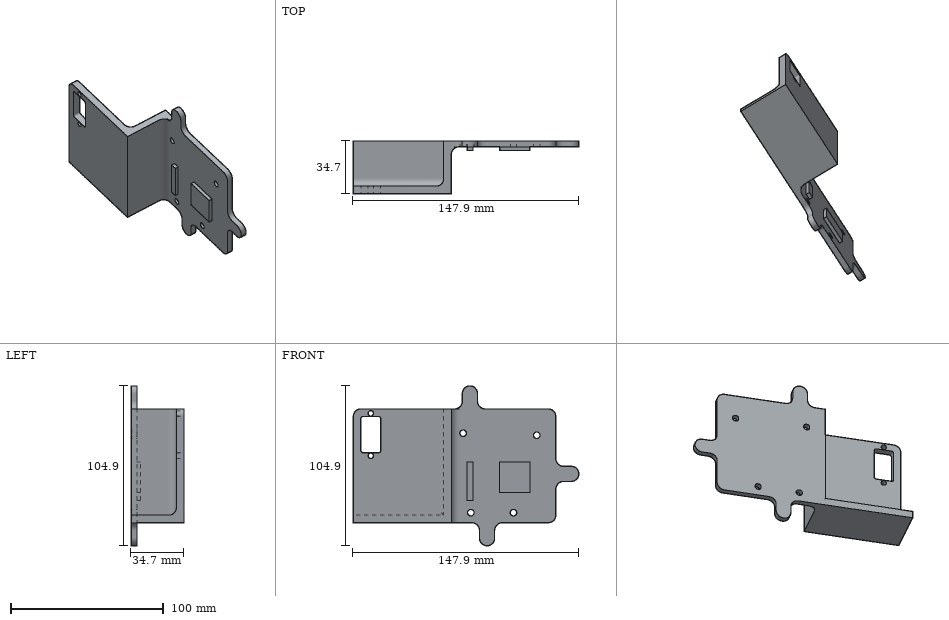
import cadquery as cq


length = 147.9
depth = 34.7
body_height = 74.7

wall = 5.0
round_radius = 5.0
box_length = 64.3

plate_thickness = 4.0
ear_length = 15.1
ear_width = 2 * round_radius
plate_end = length - ear_length
plate_start = box_length - wall
plate_front = depth - plate_thickness
top_ear_x = 76.5
bottom_ear_x = 87.7
side_ear_z = 32.1

plate_hole_diameter = 4.1
plate_holes = [(72.0, 58.7), (120.2, 57.4), (77.0, 6.7), (105.0, 6.7)]
pad_height = 2.4
pad_top = 39.8
bar_pad_x, bar_pad_width, bar_pad_height = 76.6, 4.0, 25.0
square_pad_x, square_pad_size = 105.9, 19.8

window_x, window_z = 11.5, 57.8
window_width, window_height = 12.9, 23.5
window_radius = 1.2
screw_diameter = 3.4
screw_spacing = 27.8


def block(x0, x1, y0, y1, z0, z1):
    """Box between two opposite corners."""
    return cq.Workplane("XY").box(x1 - x0, y1 - y0, z1 - z0, centered=False).translate((x0, y0, z0))


def holes_along_y(points, diameter):
    """Cylinders through the whole depth at (x, z) points."""
    return cq.Workplane("XZ").pushPoints(points).circle(diameter / 2).extrude(-depth)


def make_box():
    """Floor, front wall and side wall, open at the left, back and top."""
    body = block(0, box_length, 0, depth, 0, body_height)
    body = body.edges("|Y and <X and >Z").fillet(round_radius)

    cavity = block(-wall, plate_start, wall, depth + wall, wall, body_height + wall)
    side_rounded = cavity.edges("|Z and >X and <Y").fillet(round_radius)
    floor_rounded = cavity.edges("|X and <Y and <Z").fillet(round_radius)
    return body.cut(side_rounded.intersect(floor_rounded))


def ear_on_top():
    """Ear outline standing on an edge at the origin, pointing up, with concave root fillets."""
    half = ear_width / 2
    root = half + round_radius
    straight_end = ear_length - half
    return (
        cq.Workplane("XZ")
        .moveTo(-root, -wall)
        .lineTo(-root, 0)
        .radiusArc((-half, round_radius), -round_radius)
        .lineTo(-half, straight_end)
        .threePointArc((0, ear_length), (half, straight_end))
        .lineTo(half, round_radius)
        .radiusArc((root, 0), -round_radius)
        .lineTo(root, -wall)
        .close()
        .extrude(-plate_thickness)
    )


def make_plate():
    """Flat plate with round corners and three round-ended ears."""
    plate = block(plate_start, plate_end, plate_front, depth, 0, body_height)
    plate = plate.edges("|Y and >X").fillet(round_radius)
    ears = [(top_ear_x, body_height, 0), (plate_end, side_ear_z, 90), (bottom_ear_x, 0, 180)]
    for x, z, turn in ears:
        ear = ear_on_top().rotate((0, 0, 0), (0, 1, 0), turn)
        plate = plate.union(ear.translate((x, plate_front, z)))
    return plate


def make_pad(x, width, height):
    """Rectangular pad on the front face of the plate."""
    left = x - width / 2
    return block(left, left + width, plate_front - pad_height, depth, pad_top - height, pad_top)


def make_blend():
    """Concave fillet between the side wall and the front face of the plate."""
    return (
        cq.Workplane("XY")
        .moveTo(box_length, plate_front)
        .lineTo(box_length, plate_front - round_radius)
        .radiusArc((box_length + round_radius, plate_front), round_radius)
        .close()
        .extrude(body_height)
    )


def make_window():
    """Cutter for the connector window and its two screw holes."""
    left = window_x - window_width / 2
    bottom = window_z - window_height / 2
    opening = block(left, left + window_width, 0, wall, bottom, bottom + window_height)
    opening = opening.edges("|Y").fillet(window_radius)
    screws = [(window_x, window_z + side * screw_spacing / 2) for side in (-1, 1)]
    return opening.union(holes_along_y(screws, screw_diameter))


result = make_box().union(make_plate()).union(make_blend())
result = result.union(make_pad(bar_pad_x, bar_pad_width, bar_pad_height))
result = result.union(make_pad(square_pad_x, square_pad_size, square_pad_size))
result = result.cut(make_window()).cut(holes_along_y(plate_holes, plate_hole_diameter))